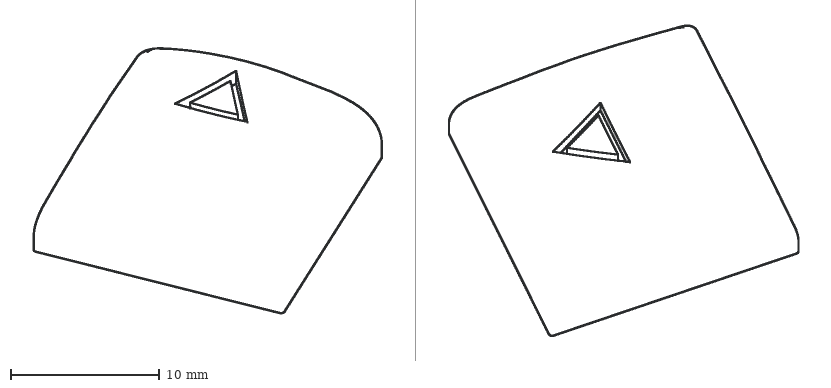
import cadquery as cq
import math

WIDTH = 18.2
SKIRT_HEIGHT = 1.02
SKIRT_CORNER = 0.25

DOME_TOP = 8.19
DOME_INSET = 3.2
DOME_BULGE = 0.75
CORNER_GROWTH = 0.7
SECTION_COUNT = 5

DISH_RADIUS = 45.5
DISH_BOTTOM = 7.33
RIM_FILLET = 0.45

TRIANGLE_SIDE = 5.25
TRIANGLE_BASE_Y = 0.62
GROOVE_WIDTH = 0.51
GROOVE_DEPTH = 0.84


def turned(x, y, z, quarter):
    """Point turned about Z by a number of quarter turns."""
    for _ in range(quarter):
        x, y = -y, x
    return cq.Vector(x, y, z)


def dome_section(rise):
    """Rounded, bowed square at a given fraction of the dome height."""
    lean = rise**2
    middle = WIDTH / 2 - DOME_INSET * lean
    bulge = DOME_BULGE * lean
    leg = SKIRT_CORNER + CORNER_GROWTH * lean
    side = middle - bulge
    half_chord = side - leg
    height = SKIRT_HEIGHT + (DOME_TOP - SKIRT_HEIGHT) * rise

    side_end_angle = 2 * math.atan(bulge / half_chord)
    corner_turn = math.pi / 2 - 2 * side_end_angle
    corner_sagitta = leg / math.sqrt(2) * math.tan(corner_turn / 4)
    corner = side - leg / 2 + corner_sagitta / math.sqrt(2)

    edges = []
    for quarter in range(4):
        start = turned(side, -half_chord, height, quarter)
        end = turned(side, half_chord, height, quarter)
        next_start = turned(half_chord, side, height, quarter)
        if bulge > 0:
            bow = turned(middle, 0, height, quarter)
            edges.append(cq.Edge.makeThreePointArc(start, bow, end))
        else:
            edges.append(cq.Edge.makeLine(start, end))
        corner_middle = turned(corner, corner, height, quarter)
        edges.append(cq.Edge.makeThreePointArc(end, corner_middle, next_start))
    return cq.Wire.assembleEdges(edges)


def make_body():
    """Straight skirt with the domed cap lofted on top of it."""
    skirt = (
        cq.Workplane("XY")
        .rect(WIDTH, WIDTH)
        .extrude(SKIRT_HEIGHT)
        .edges("|Z")
        .fillet(SKIRT_CORNER)
    )
    sections = [dome_section(i / (SECTION_COUNT - 1)) for i in range(SECTION_COUNT)]
    return skirt.union(cq.Workplane(cq.Solid.makeLoft(sections)))


def cut_dish(body):
    """Scoop the spherical finger dish and round its rim."""
    ball = cq.Workplane("XY").sphere(DISH_RADIUS)
    ball = ball.rotate((0, 0, 0), (0, 1, 0), -90).translate((0, 0, DISH_BOTTOM + DISH_RADIUS))
    dished = body.cut(ball)
    return dished.faces(">Z").edges().fillet(RIM_FILLET)


def triangle(side):
    """Equilateral prism centred on the Z axis, with one corner toward +Y."""
    corner_circle_diameter = 2 * side / math.sqrt(3)
    return (
        cq.Workplane("XY")
        .polygon(3, corner_circle_diameter)
        .extrude(DOME_TOP)
        .rotate((0, 0, 0), (0, 0, 1), 90)
    )


def make_groove():
    """Triangular ring groove; its flat floor lies below the dish bottom."""
    inradius = TRIANGLE_SIDE / (2 * math.sqrt(3))
    inner_side = TRIANGLE_SIDE - 2 * math.sqrt(3) * GROOVE_WIDTH
    ring = triangle(TRIANGLE_SIDE).cut(triangle(inner_side))
    return ring.translate((0, TRIANGLE_BASE_Y + inradius, DISH_BOTTOM - GROOVE_DEPTH))


result = cut_dish(make_body()).cut(make_groove())